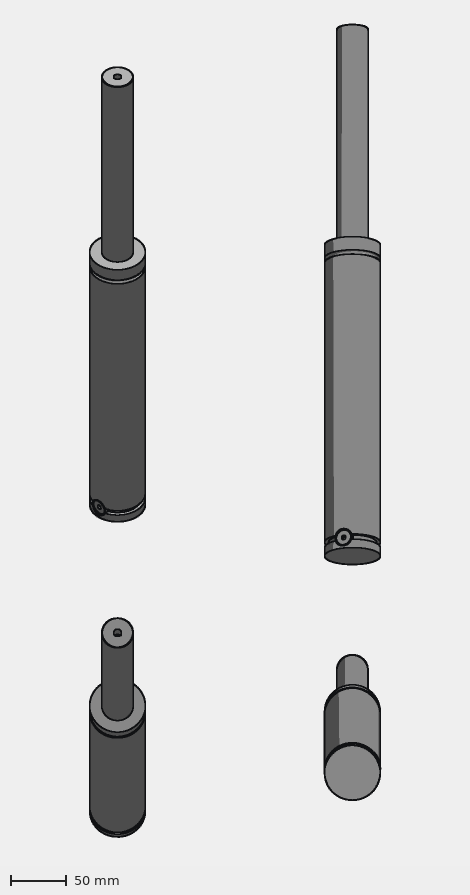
import cadquery as cq
import math

total_height = 495.0
body_diameter = 50.0
body_height = 292.0
rod_diameter = 28.0
rod_chamfer = 0.5
body_radius = body_diameter / 2

top_groove_radius = 2.0
top_groove_depth_from_top = 14.5

bottom_groove_width = 5.0
bottom_groove_depth = 3.5
bottom_groove_height = 10.5

port_diameter = 16.0
port_face_depth = 1.0
port_root_depth = 7.5
recess_diameter = 14.0
recess_depth = 0.5
port_hole_diameter = 4.0
port_hole_depth = 5.0

rod_hole_diameter = 7.0
rod_hole_depth = 15.0
drill_point_angle = 118


def port_cylinder(diameter, start_depth, end_depth):
    """Cylinder along Y between two depths below the -Y side of the body."""
    return (
        cq.Workplane("XZ", origin=(0, start_depth - body_radius, bottom_groove_height))
        .circle(diameter / 2)
        .extrude(start_depth - end_depth)
    )


def make_body():
    body = cq.Workplane("XY").circle(body_radius).extrude(body_height)
    top_groove = cq.Solid.makeTorus(
        body_radius,
        top_groove_radius,
        cq.Vector(0, 0, body_height - top_groove_depth_from_top),
        cq.Vector(0, 0, 1),
    )
    bottom_groove = (
        cq.Workplane("XY", origin=(0, 0, bottom_groove_height - bottom_groove_width / 2))
        .circle(body_radius)
        .circle(body_radius - bottom_groove_depth)
        .extrude(bottom_groove_width)
    )
    return body.cut(cq.Workplane(top_groove)).cut(bottom_groove)


def make_rod():
    rod = (
        cq.Workplane("XY", origin=(0, 0, body_height))
        .circle(rod_diameter / 2)
        .extrude(total_height - body_height)
        .faces(">Z")
        .chamfer(rod_chamfer)
    )
    rod_hole = (
        cq.Workplane("XY", origin=(0, 0, total_height))
        .circle(rod_hole_diameter / 2)
        .extrude(-rod_hole_depth)
    )
    point_height = rod_hole_diameter / 2 / math.tan(math.radians(drill_point_angle / 2))
    drill_point = cq.Solid.makeCone(
        rod_hole_diameter / 2,
        0,
        point_height,
        cq.Vector(0, 0, total_height - rod_hole_depth),
        cq.Vector(0, 0, -1),
    )
    return rod.cut(rod_hole).cut(cq.Workplane(drill_point))


def add_port(body):
    """Fill the groove with a flat round pad, then recess and drill the pad."""
    clearance = port_cylinder(port_diameter, 0, port_face_depth)
    pad = port_cylinder(port_diameter, port_face_depth, port_root_depth)
    recess = port_cylinder(recess_diameter, 0, port_face_depth + recess_depth)
    hole = port_cylinder(port_hole_diameter, 0, port_hole_depth)
    return body.cut(clearance).union(pad).cut(recess).cut(hole)


result = add_port(make_body()).union(make_rod())